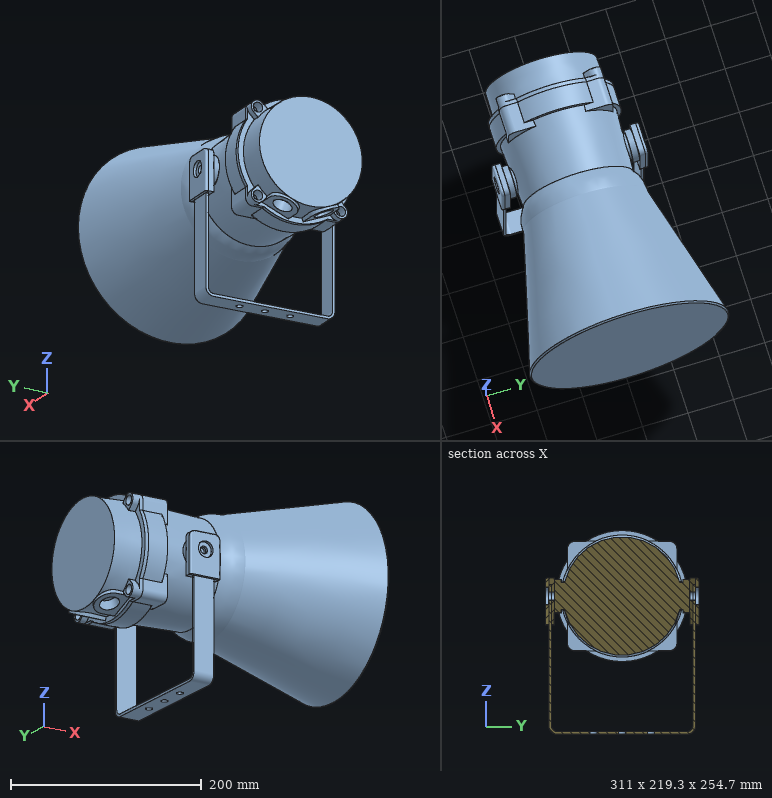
import cadquery as cq
import math

collar_start = 25.2
flange_start = 33.3
lid_end = 37.5
flange_end = 61.3
lug_end = 68.5
housing_end = 132.0
bowl_end = 157.0
cone_start = 158.0
rim_start = 309.0
rim_end = 311.0

lid_back_diameter = 123.0
lid_front_diameter = 125.3
housing_back_diameter = 130.0
housing_front_diameter = 122.0
flange_diameter = 137.8
bowl_diameter = 138.0
rim_diameter = 219.3
rim_face_diameter = 216.0
bowl_bulge = 2.5

lug_square = 115.0
lug_radius = 8.0
lug_offset = lug_square / 2 - lug_radius
lug_hole_diameter = 11.0
lug_pilot_diameter = 6.0
lug_pilot_depth = 12.5

entry_angle = 22.5
entry_face_distance = 64.5
entry_width = 34.2
entry_hole_diameter = 21.0
entry_hole_depth = 12.5

pivot_x = 101.0
neck_diameter = 29.0
disc_diameter = 35.0
disc_start = 63.8
pivot_hole_diameter = 8.5

pad_start = 71.0
pad_width = 36.7
pad_top = 19.0
pad_bottom = -30.2
pad_corner_radius = 6.2
plate_thickness = 3.5
plate_fillet = 2.0
plate_hole_diameter = 18.0
bracket_width = 24.5
bracket_thickness = 3.0
bracket_half_span = 77.0
overall_height = 254.7
bracket_bottom = rim_diameter / 2 - overall_height
bracket_top = 12.5
bracket_bend_radius = 9.3
bracket_hole_diameter = 7.0
bracket_hole_pitch = 30.2
bracket_hole_count = 3

plate_start = bracket_half_span
SIDES = (-1, 1)
LUG_CENTRES = [(y, z) for y in (-lug_offset, lug_offset) for z in (-lug_offset, lug_offset)]
BLIND_LUG = (-lug_offset, lug_offset)


def cylinder_x(diameter, start, end, y=0, z=0):
    """Cylinder along X between two positions."""
    return cq.Workplane("YZ", origin=(start, y, z)).circle(diameter / 2).extrude(end - start)


def cylinder_y(diameter, start, end):
    """Cylinder on the pivot axis, along Y between two positions."""
    pivot_plane = cq.Plane(origin=(pivot_x, start, 0), xDir=(1, 0, 0), normal=(0, 1, 0))
    return cq.Workplane(pivot_plane).circle(diameter / 2).extrude(end - start)


def tapered_barrel(start, end, start_diameter, end_diameter):
    """Solid cone frustum on the X axis."""
    outline = [(start, 0), (start, start_diameter / 2), (end, end_diameter / 2), (end, 0)]
    return cq.Workplane("XY").polyline(outline).close().revolve(360, (0, 0, 0), (1, 0, 0))


def lug_flange(start, round_end, square_end):
    """Round flange together with the rounded square whose corners form the lugs."""
    square = (
        cq.Workplane("YZ", origin=(start, 0, 0))
        .rect(lug_square, lug_square)
        .extrude(square_end - start)
        .edges("|X")
        .fillet(lug_radius)
    )
    return cylinder_x(flange_diameter, start, round_end).union(square)


def lug_collar(y, z):
    """Raised collar around a lug hole, running inwards to the barrel with parallel sides."""
    direction = math.degrees(math.atan2(z, y))
    inner_share = 0.5
    middle_share = (1 + inner_share) / 2
    middle = (collar_start, middle_share * y, middle_share * z)
    length = (1 - inner_share) * math.hypot(y, z) + 2 * lug_radius
    return (
        cq.Workplane("YZ", origin=middle)
        .slot2D(length, 2 * lug_radius, direction)
        .extrude(flange_start - collar_start)
    )


def entry_plane(side):
    """Plane of a cable entry's face, centred on the entry, facing outwards."""
    angle = math.radians(entry_angle)
    outwards = (0, side * math.sin(angle), -math.cos(angle))
    centre = (entry_width / 2, entry_face_distance * outwards[1], entry_face_distance * outwards[2])
    return cq.Plane(origin=centre, xDir=(1, 0, 0), normal=outwards)


def entry_boss(side):
    """Boss with a round back end that runs forward to the flange."""
    radius = entry_width / 2
    forward = flange_start - radius
    depth = entry_face_distance / 2
    return (
        cq.Workplane(entry_plane(side))
        .moveTo(forward, radius)
        .lineTo(0, radius)
        .threePointArc((-radius, 0), (0, -radius))
        .lineTo(forward, -radius)
        .close()
        .extrude(-depth)
    )


def entry_hole(side):
    return cq.Workplane(entry_plane(side)).circle(entry_hole_diameter / 2).extrude(-entry_hole_depth)


def make_lid():
    lid = tapered_barrel(0, lid_end, lid_back_diameter, lid_front_diameter)
    lid = lid.union(lug_flange(flange_start, lid_end, lid_end))
    for y, z in LUG_CENTRES:
        lid = lid.union(lug_collar(y, z))
    for side in SIDES:
        lid = lid.union(entry_boss(side))
    for side in SIDES:
        lid = lid.cut(entry_hole(side))
    for y, z in LUG_CENTRES:
        lid = lid.cut(cylinder_x(lug_hole_diameter, collar_start, lid_end, y, z))
    return lid


def make_housing():
    housing = tapered_barrel(lid_end, housing_end, housing_back_diameter, housing_front_diameter)
    housing = housing.union(lug_flange(lid_end, flange_end, lug_end))
    for side in SIDES:
        housing = housing.union(cylinder_y(neck_diameter, 0, side * disc_start))
        housing = housing.union(cylinder_y(disc_diameter, side * disc_start, side * pad_start))
    for y, z in LUG_CENTRES:
        if (y, z) != BLIND_LUG:
            housing = housing.cut(cylinder_x(lug_pilot_diameter, lid_end, lid_end + lug_pilot_depth, y, z))
    return housing


def make_horn():
    back_radius = housing_front_diameter / 2
    bowl_radius = bowl_diameter / 2
    chord_x = bowl_end - housing_end
    chord_r = bowl_radius - back_radius
    chord = math.hypot(chord_x, chord_r)
    arc_middle = (
        housing_end + chord_x / 2 - bowl_bulge * chord_r / chord,
        back_radius + chord_r / 2 + bowl_bulge * chord_x / chord,
    )
    return (
        cq.Workplane("XY")
        .moveTo(housing_end, 0)
        .lineTo(housing_end, back_radius)
        .threePointArc(arc_middle, (bowl_end, bowl_radius))
        .lineTo(cone_start, bowl_radius)
        .lineTo(rim_start, rim_diameter / 2)
        .lineTo(rim_end, rim_face_diameter / 2)
        .lineTo(rim_end, 0)
        .close()
        .revolve(360, (0, 0, 0), (1, 0, 0))
    )


def bracket_strap():
    strap = (
        cq.Workplane("XY")
        .box(bracket_width, 2 * bracket_half_span, bracket_top - bracket_bottom, centered=(True, True, False))
        .edges("|X and <Z")
        .fillet(bracket_bend_radius)
    )
    inside = (
        cq.Workplane("XY", origin=(0, 0, bracket_thickness))
        .box(
            bracket_width,
            2 * (bracket_half_span - bracket_thickness),
            bracket_top - bracket_bottom,
            centered=(True, True, False),
        )
        .edges("|X and <Z")
        .fillet(bracket_bend_radius - bracket_thickness)
    )
    return strap.cut(inside).translate((pivot_x, 0, bracket_bottom))


def make_bracket():
    base_holes = (
        cq.Workplane("XY", origin=(pivot_x, 0, bracket_bottom))
        .rarray(3, bracket_hole_pitch, 1, bracket_hole_count)
        .circle(bracket_hole_diameter / 2)
        .extrude(bracket_thickness)
    )
    pivot_hole = cylinder_y(pivot_hole_diameter, -bracket_half_span, bracket_half_span)
    return bracket_strap().cut(base_holes).cut(pivot_hole)


def pad_block(side, start, thickness):
    """Upright block with rounded top corners, on one side of the housing."""
    middle_y = side * (start + thickness / 2)
    return (
        cq.Workplane("XY")
        .box(pad_width, thickness, pad_top - pad_bottom)
        .edges("|Y and >Z")
        .fillet(pad_corner_radius)
        .translate((pivot_x, middle_y, (pad_top + pad_bottom) / 2))
    )


def make_pad(side):
    pad = pad_block(side, pad_start, plate_start - pad_start)
    pad = pad.cut(bracket_strap())
    return pad.cut(cylinder_y(pivot_hole_diameter, side * pad_start, side * plate_start))


def make_plate(side):
    outer_face = ">Y" if side > 0 else "<Y"
    plate = pad_block(side, plate_start, plate_thickness)
    plate = plate.faces(outer_face).edges("not <Z").fillet(plate_fillet)
    plate_end = plate_start + plate_thickness
    return plate.cut(cylinder_y(plate_hole_diameter, side * plate_start, side * plate_end))


lid = make_lid()
housing = make_housing()
horn = make_horn()
bracket = make_bracket()
pads = [make_pad(side).val() for side in SIDES]
plates = [make_plate(side).val() for side in SIDES]
result = cq.Compound.makeCompound([lid.val(), housing.val(), horn.val(), bracket.val(), *pads, *plates])